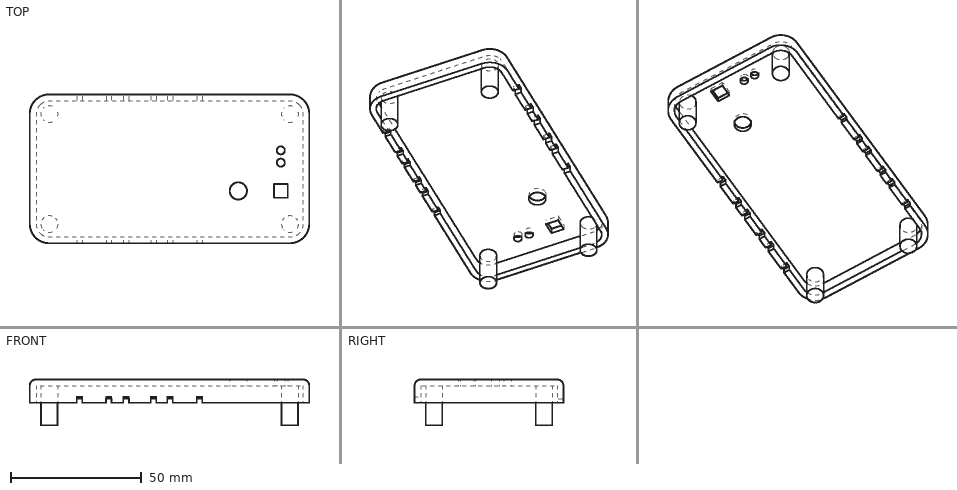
import cadquery as cq

length = 107.0
width = 57.0
total_height = 17.5
shell_height = 9.0
corner_radius = 7.5
top_edge_radius = 2.5
top_thickness = 2.5
wall_thickness = 2.5

pin_diameter = 6.4
pin_length = total_height - shell_height
pin_spacing_x = length - 2 * corner_radius
pin_spacing_y = width - 2 * corner_radius

button_diameter = 6.5
control_row_y = -8.5
light_column_x = 42.6
button_center = (26.3, control_row_y)
window_side = 5.1
window_center = (light_column_x, control_row_y)
light_diameter = 3.0
light_ys = (2.4, 7.1)

notch_width = 2.0
front_notch_depth = 2.4
back_notch_depth = 1.6
notch_xs = (-34.5, -23.2, -16.6, -6.1, 0.2, 11.5)

inner_height = shell_height - top_thickness
inner_length = length - 2 * wall_thickness
inner_width = width - 2 * wall_thickness
inner_corner_radius = corner_radius - wall_thickness
long_wall_y = inner_width / 2 + wall_thickness / 2


def rounded_block(size_x, size_y, height, radius):
    """Block standing on Z = 0 with rounded vertical edges."""
    block = cq.Workplane("XY").box(size_x, size_y, height, centered=(True, True, False))
    return block.edges("|Z").fillet(radius)


def make_shell():
    """Rounded cover with a closed top and an open bottom."""
    outer = rounded_block(length, width, shell_height, corner_radius)
    outer = outer.faces(">Z").edges().fillet(top_edge_radius)
    return outer.cut(rounded_block(inner_length, inner_width, inner_height, inner_corner_radius))


def make_pins():
    """Four corner pins, from the underside of the top to the lowest plane."""
    return (
        cq.Workplane("XY", origin=(0, 0, -pin_length))
        .rect(pin_spacing_x, pin_spacing_y, forConstruction=True)
        .vertices()
        .circle(pin_diameter / 2)
        .extrude(pin_length + inner_height)
    )


def make_top_openings():
    """Button hole, square window and two light holes."""
    button = cq.Workplane("XY").center(*button_center).circle(button_diameter / 2).extrude(shell_height)
    window = cq.Workplane("XY").center(*window_center).rect(window_side, window_side).extrude(shell_height)
    lights = (
        cq.Workplane("XY")
        .pushPoints([(light_column_x, y) for y in light_ys])
        .circle(light_diameter / 2)
        .extrude(shell_height)
    )
    return button.union(window).union(lights)


def make_notches(wall_y, depth):
    """Row of notches through the long wall centred at wall_y."""
    return (
        cq.Workplane("XY")
        .pushPoints([(x, wall_y) for x in notch_xs])
        .rect(notch_width, wall_thickness)
        .extrude(depth)
    )


result = (
    make_shell()
    .union(make_pins())
    .cut(make_top_openings())
    .cut(make_notches(-long_wall_y, front_notch_depth))
    .cut(make_notches(long_wall_y, back_notch_depth))
)